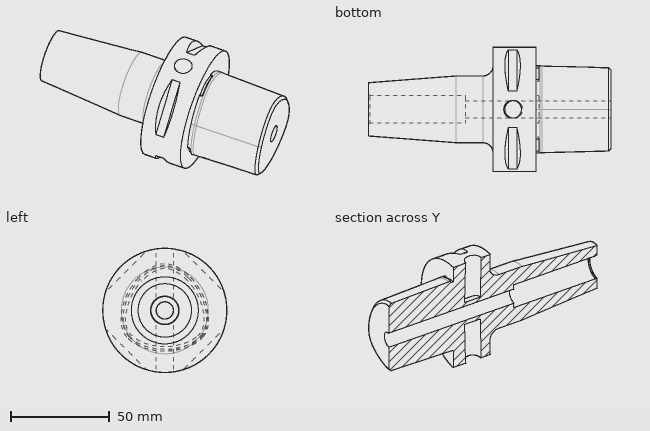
import cadquery as cq
import math

total_length = 123.0
nose_diameter = 27.0
neck_diameter = 34.0
nose_taper_length = 44.5
flange_start = 63.1
flange_end = 85.0
flange_diameter = 63.0
neck_fillet = 5.0

clamp_bore_diameter = 14.0
clamp_bore_depth = 49.2
bore_relief_diameter = 14.5
bore_relief_depth = 1.0
through_bore_diameter = 8.6

lobe_count = 3
shank_mean_radius = 22.0
lobe_rise = 1.5
shank_collar_length = 1.8
shank_band_length = 1.1
collar_step = 0.1
shank_taper_ratio = 1 / 40
shank_end_chamfer = 1.4
points_per_lobe = 13

notch_width = 14.0
notch_length = 1.5
notch_depth = 1.0
notch_corner_radius = 0.7

groove_center_x = flange_start + 10.0
groove_floor_width = 4.3
groove_mouth_width = 7.9
groove_floor_distance = 27.8
groove_angles = (45, 135, 225, 315)
radial_hole_diameter = 9.0
radial_hole_core_diameter = 14.0
radial_hole_tilt = 1.3
radial_hole_angles = (0, 180)


def cylinder_x(diameter, start, length):
    """Cylinder along X from the given start."""
    return cq.Workplane("YZ", origin=(start, 0, 0)).circle(diameter / 2).extrude(length)


def about_x(shape, angle):
    """Shape turned about the part axis."""
    return shape.rotate((0, 0, 0), (1, 0, 0), angle)


def lobed_point(mean_radius, angle):
    """(Y, Z) point of the lobed outline; one lobe points to +Z (angle 90 degrees)."""
    phase = lobe_count * (angle - math.pi / 2)
    support = mean_radius + lobe_rise * math.cos(phase)
    slope = -lobe_count * lobe_rise * math.sin(phase)
    y = support * math.cos(angle) - slope * math.sin(angle)
    z = support * math.sin(angle) + slope * math.cos(angle)
    return y, z


def lobed_outline(workplane, mean_radius):
    """Closed outline with one spline per lobe, joined tangentially mid-flat."""
    lobe_angle = 2 * math.pi / lobe_count
    first_angle = math.pi / 2 - lobe_angle / 2
    outline = workplane.moveTo(*lobed_point(mean_radius, first_angle))
    for lobe in range(lobe_count):
        start = first_angle + lobe * lobe_angle
        end = start + lobe_angle
        step = lobe_angle / (points_per_lobe - 1)
        points = [lobed_point(mean_radius, start + i * step) for i in range(points_per_lobe)]
        tangents = [(-math.sin(a), math.cos(a)) for a in (start, end)]
        outline = outline.spline(points[1:], tangents=tangents, includeCurrent=True)
    return outline.close()


def lobed_section(start, end, start_radius, end_radius):
    """Lobed solid between two X positions."""
    base = lobed_outline(cq.Workplane("YZ", origin=(start, 0, 0)), start_radius)
    length = end - start
    if start_radius == end_radius:
        return base.extrude(length)
    return lobed_outline(base.workplane(offset=length), end_radius).loft(ruled=True)


def turned_body():
    """Tapered nose, neck with concave fillet, and flange."""
    neck_radius = neck_diameter / 2
    fillet_start = flange_start - neck_fillet
    fillet_rim = neck_radius + neck_fillet
    fillet_offset = neck_fillet * math.sqrt(0.5)
    return (
        cq.Workplane("XY")
        .lineTo(0, nose_diameter / 2)
        .lineTo(nose_taper_length, neck_radius)
        .lineTo(fillet_start, neck_radius)
        .threePointArc(
            (fillet_start + fillet_offset, fillet_rim - fillet_offset),
            (flange_start, fillet_rim),
        )
        .lineTo(flange_start, flange_diameter / 2)
        .lineTo(flange_end, flange_diameter / 2)
        .lineTo(flange_end, 0)
        .close()
        .revolve(360, (0, 0, 0), (1, 0, 0))
    )


def shank():
    """Lobed collar, tapered polygon and chamfered end."""
    collar_end = flange_end + shank_collar_length
    collar_radius = shank_mean_radius + collar_step
    band_end = collar_end + shank_band_length
    chamfer_start = total_length - shank_end_chamfer
    chamfer_radius = shank_mean_radius - shank_taper_ratio * (chamfer_start - band_end)
    end_radius = chamfer_radius - shank_end_chamfer
    collar = lobed_section(flange_end, collar_end, collar_radius, collar_radius)
    band = lobed_section(collar_end, band_end, collar_radius, shank_mean_radius)
    taper = lobed_section(band_end, chamfer_start, shank_mean_radius, chamfer_radius)
    chamfer = lobed_section(chamfer_start, total_length, chamfer_radius, end_radius)
    return collar.union(band).union(taper).union(chamfer)


def lobe_notch():
    """Cutter for the relief on the +Z lobe, rounded at its inner corners."""
    notch_end = flange_end + notch_length
    floor_radius = shank_mean_radius - notch_depth
    return (
        cq.Workplane("XY", origin=(flange_end, 0, 0))
        .rect(2 * notch_length, notch_width)
        .extrude(flange_diameter / 2)
        .edges("|Z and >X")
        .fillet(notch_corner_radius)
        .intersect(cylinder_x(flange_diameter, flange_end, notch_length))
        .cut(lobed_section(flange_end, notch_end, floor_radius, floor_radius))
    )


def gripper_groove():
    """Cutter for a straight flared groove across the +Z side of the flange."""
    half_floor = groove_floor_width / 2
    rim = flange_diameter / 2
    half_mouth = groove_mouth_width / 2
    return (
        cq.Workplane("XZ")
        .moveTo(groove_center_x - half_floor, groove_floor_distance)
        .lineTo(groove_center_x + half_floor, groove_floor_distance)
        .lineTo(groove_center_x + half_mouth, rim)
        .lineTo(groove_center_x - half_mouth, rim)
        .close()
        .extrude(rim, both=True)
    )


def radial_hole():
    """Cutter for the slightly tilted hole from the +Z side, ending on a round core about the part axis."""
    rim = flange_diameter / 2
    pivot = (groove_center_x, 0, rim)
    pivot_end = (groove_center_x, 1, rim)
    return (
        cq.Workplane("XY", origin=(groove_center_x, 0, 0))
        .circle(radial_hole_diameter / 2)
        .extrude(flange_diameter)
        .rotate(pivot, pivot_end, -radial_hole_tilt)
        .cut(cylinder_x(radial_hole_core_diameter, flange_start, flange_end - flange_start))
    )


result = turned_body().union(shank())

for lobe_index in range(lobe_count):
    result = result.cut(about_x(lobe_notch(), lobe_index * 360 / lobe_count))

for groove_angle in groove_angles:
    result = result.cut(about_x(gripper_groove(), groove_angle))

for hole_angle in radial_hole_angles:
    result = result.cut(about_x(radial_hole(), hole_angle))

result = result.cut(cylinder_x(through_bore_diameter, 0, total_length))
result = result.cut(cylinder_x(clamp_bore_diameter, 0, clamp_bore_depth))
result = result.cut(cylinder_x(bore_relief_diameter, 0, bore_relief_depth))